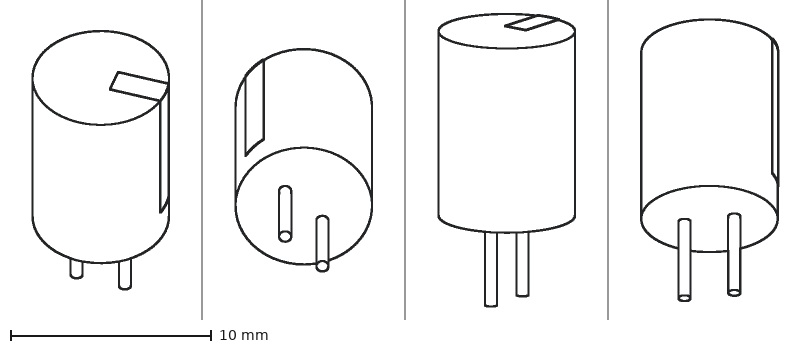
import cadquery as cq

total_height = 13.88
can_diameter = 6.82
pin_length = 4.36
pin_diameter = 0.61
pin_pitch = 2.54

stripe_thickness = 0.03
stripe_width = 1.32
stripe_inner_x = 0.7
stripe_side_length = 7.68

can_radius = can_diameter / 2
can_height = total_height - pin_length - stripe_thickness
stripe_top = can_height + stripe_thickness


def make_can():
    return cq.Workplane("XY").circle(can_radius).extrude(can_height)


def make_stripe(can):
    """Strip lying on the can's top and running down its side, following the round wall."""
    envelope = (
        cq.Workplane("XY", origin=(0, 0, stripe_top))
        .circle(can_radius + stripe_thickness)
        .extrude(-stripe_side_length)
    )
    band = (
        cq.Workplane("XY", origin=(stripe_inner_x, 0, stripe_top))
        .rect(can_diameter, stripe_width)
        .extrude(-stripe_side_length)
        .translate((can_radius, 0, 0))
    )
    return envelope.intersect(band).cut(can)


def make_pin(x):
    """Round lead hanging from the underside of the can."""
    return cq.Workplane("XY", origin=(x, 0, 0)).circle(pin_diameter / 2).extrude(-pin_length)


can = make_can()
stripe = make_stripe(can)
pins = [make_pin(side * pin_pitch / 2) for side in (-1, 1)]

result = cq.Compound.makeCompound([can.val(), stripe.val(), *[pin.val() for pin in pins]])